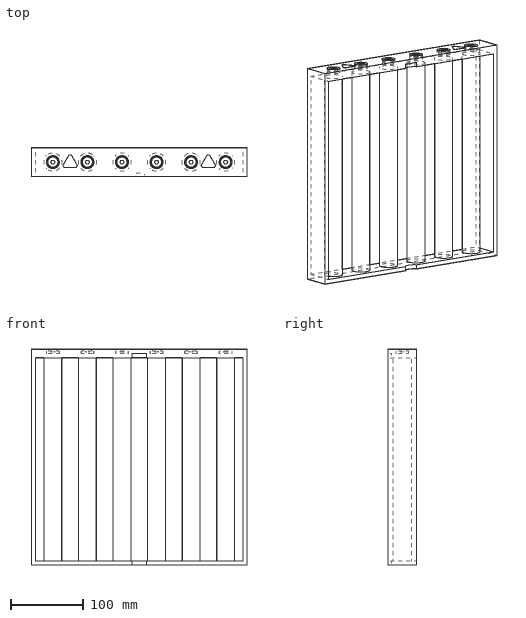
import cadquery as cq
import math

frame_width = 299.0
frame_depth = 40.0
frame_height = 299.3
plate = 6.0
beam_top = frame_height - plate
window_height = frame_height - 3 * plate

tube_count = 6
tube_pitch = 48.0
tube_diameter = 25.0

notch_diameter = 24.0
notch_width = 19.8

screw_hole_diameter = 18.0
flange_diameter = 17.0
flange_height = 3.3
head_diameter = 14.0
head_top_diameter = 8.5
head_height = 5.7
dome_bulge = 0.45
socket_across_flats = 5.0
socket_depth = 3.5
socket_turn = 30.0

mark_side = 23.3
mark_corner_clip = 3.3
mark_base_y = -7.5
mark_depth = 0.3

tube_positions = [(i - (tube_count - 1) / 2) * tube_pitch for i in range(tube_count)]
mark_positions = [-2 * tube_pitch, 2 * tube_pitch]


def make_cylinder(x, y, base_z, diameter, height):
    """Upright cylinder standing at the given point."""
    return cq.Workplane("XY", origin=(x, y, base_z)).circle(diameter / 2).extrude(height)


def make_frame():
    """Closed rectangular frame with a double-thickness top."""
    outer = cq.Workplane("XY").box(frame_width, frame_depth, frame_height, centered=(True, True, False))
    window = (
        cq.Workplane("XY")
        .workplane(offset=plate)
        .box(frame_width - 2 * plate, frame_depth, window_height, centered=(True, True, False))
    )
    return outer.cut(window)


def make_notch(base_z):
    """Cylinder whose axis lies in front of the frame, cutting one plate."""
    radius = notch_diameter / 2
    axis_offset = math.sqrt(radius**2 - (notch_width / 2) ** 2)
    axis_y = -frame_depth / 2 - axis_offset
    return make_cylinder(0, axis_y, base_z, notch_diameter, plate)


def make_tube(x):
    """Round bar filling the clear height of the frame."""
    return make_cylinder(x, 0, plate, tube_diameter, window_height)


def make_screw_hole(x):
    """Hole through the cover plate only."""
    return make_cylinder(x, 0, beam_top, screw_hole_diameter, plate)


def make_screw_head(x):
    """Flange and domed head, revolved, with a hexagon socket."""
    flange_radius = flange_diameter / 2
    head_radius = head_diameter / 2
    head_top_radius = head_top_diameter / 2
    dome_middle = (
        (head_radius + head_top_radius) / 2 + dome_bulge,
        (flange_height + head_height) / 2 + dome_bulge,
    )
    head = (
        cq.Workplane("XZ")
        .lineTo(flange_radius, 0)
        .lineTo(flange_radius, flange_height)
        .lineTo(head_radius, flange_height)
        .threePointArc(dome_middle, (head_top_radius, head_height))
        .lineTo(0, head_height)
        .close()
        .revolve(360, (0, 0, 0), (0, 1, 0))
    )
    socket = (
        cq.Workplane("XY")
        .workplane(offset=head_height - socket_depth)
        .polygon(6, socket_across_flats, circumscribed=True)
        .extrude(socket_depth)
        .rotate((0, 0, 0), (0, 0, 1), socket_turn)
    )
    return head.cut(socket).translate((x, 0, beam_top))


def make_mark(x):
    """Clipped equilateral triangle pointing to +Y, one side parallel to X."""
    half_side = mark_side / 2
    tip_y = mark_base_y + mark_side * math.sin(math.pi / 3)
    return (
        cq.Workplane("XY")
        .workplane(offset=frame_height - mark_depth)
        .center(x, 0)
        .polyline([(-half_side, mark_base_y), (half_side, mark_base_y), (0, tip_y)])
        .close()
        .extrude(mark_depth)
        .edges("|Z")
        .chamfer(mark_corner_clip)
    )


result = make_frame()

for notch_base in (0, beam_top - plate):
    result = result.cut(make_notch(notch_base))

for tube_x in tube_positions:
    result = result.union(make_tube(tube_x))
    result = result.cut(make_screw_hole(tube_x))
    result = result.union(make_screw_head(tube_x))

for mark_x in mark_positions:
    result = result.cut(make_mark(mark_x))